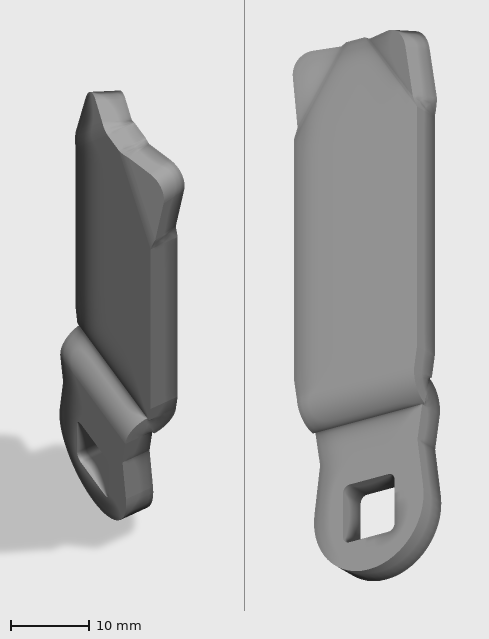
import cadquery as cq
import math


thickness = 4.0
half_width = 9.55
top_z = 64.0

hub_radius = 8.5
hole_size = 8.0
hole_corner_radius = 1.0
waist_z = 7.75
waist_half_width = 7.55

jog_offset = 3.0
jog_inner_radius = 0.01
hub_bend_z = 12.45
taper_top_z = 19.2

fold_angle = math.radians(21)
fold_inner_radius = 1.0
fold_line_angle = math.radians(55)
fold_top_x = 1.45
corner_radius = 3.0

neutral_ratio = 0.5
curve_intervals = 8


def flat_length(inner_radius, angle):
    """Length of sheet that a bend uses up, measured on the neutral layer."""
    return (inner_radius + neutral_ratio * thickness) * angle


jog_centre_distance = thickness + 2 * jog_inner_radius
jog_angle = math.acos((jog_centre_distance - jog_offset) / jog_centre_distance)
blade_bend_z = hub_bend_z + jog_centre_distance * math.sin(jog_angle)
jog_flat = flat_length(jog_inner_radius, jog_angle)

taper_length = (hub_bend_z - waist_z) + 2 * jog_flat + (taper_top_z - blade_bend_z)
taper_slope = (half_width - waist_half_width) / taper_length
hub_bend_half_width = waist_half_width + taper_slope * (hub_bend_z - waist_z)
jog_middle_half_width = hub_bend_half_width + taper_slope * jog_flat
blade_bend_half_width = jog_middle_half_width + taper_slope * jog_flat

fold_flat = flat_length(fold_inner_radius, fold_angle)
fold_side_z = top_z - (half_width - fold_top_x) * math.tan(fold_line_angle)
flap_top_x = fold_top_x + fold_flat / math.sin(fold_line_angle)
flap_side_z = fold_side_z + fold_flat / math.cos(fold_line_angle)
blade_back_y = jog_offset + thickness


def bend(plane, inner_radius, angle, start_span, end_span):
    """Bent sheet around the plane's X axis, starting below the axis and turning towards +Y.

    The spans are the (low, high) axial limits of the start and end faces;
    the ends run straight between them on the unfolded sheet.
    """
    outer_radius = inner_radius + thickness

    def point(radius, side, fraction):
        axial = start_span[side] + (end_span[side] - start_span[side]) * fraction
        turn = angle * fraction
        local = cq.Vector(axial, radius * math.sin(turn), -radius * math.cos(turn))
        return plane.toWorldCoords(local)

    def curve(radius, side):
        points = [point(radius, side, i / curve_intervals) for i in range(curve_intervals + 1)]
        return cq.Edge.makeSpline(points)

    def end_face(fraction):
        corners = [
            point(inner_radius, 0, fraction),
            point(inner_radius, 1, fraction),
            point(outer_radius, 1, fraction),
            point(outer_radius, 0, fraction),
        ]
        return cq.Face.makeFromWires(cq.Wire.makePolygon(corners, close=True))

    inner = [curve(inner_radius, side) for side in (0, 1)]
    outer = [curve(outer_radius, side) for side in (0, 1)]
    faces = [
        cq.Face.makeRuledSurface(inner[0], inner[1]),
        cq.Face.makeRuledSurface(outer[0], outer[1]),
        cq.Face.makeRuledSurface(inner[0], outer[0]),
        cq.Face.makeRuledSurface(inner[1], outer[1]),
        end_face(0),
        end_face(1),
    ]
    solid = cq.Solid.makeSolid(cq.Shell.makeShell(faces))
    return cq.Workplane(solid.fix())


def front_plane(y):
    """Sketch plane with X right and Z up; extrude by a negative length to go towards +Y."""
    return cq.Workplane("XZ", origin=(0, y, 0))


def make_hub():
    corner_distance = math.hypot(waist_half_width, waist_z)
    tangent_angle = math.atan2(waist_z, waist_half_width) - math.acos(hub_radius / corner_distance)
    tangent_x = hub_radius * math.cos(tangent_angle)
    tangent_z = hub_radius * math.sin(tangent_angle)
    plate = (
        front_plane(0)
        .moveTo(-hub_bend_half_width, hub_bend_z)
        .lineTo(-waist_half_width, waist_z)
        .lineTo(-tangent_x, tangent_z)
        .threePointArc((0, -hub_radius), (tangent_x, tangent_z))
        .lineTo(waist_half_width, waist_z)
        .lineTo(hub_bend_half_width, hub_bend_z)
        .close()
        .extrude(-thickness)
    )
    hole = (
        front_plane(0)
        .rect(hole_size, hole_size)
        .extrude(-thickness)
        .edges("|Y")
        .fillet(hole_corner_radius)
    )
    return plate.cut(hole)


def make_jog():
    hub_axis = (0, thickness + jog_inner_radius, hub_bend_z)
    blade_axis = (0, jog_offset - jog_inner_radius, blade_bend_z)
    hub_plane = cq.Plane(origin=hub_axis, xDir=(-1, 0, 0), normal=(0, 1, 0))
    blade_plane = cq.Plane(origin=blade_axis, xDir=(-1, 0, 0), normal=(0, -1, 0))
    middle_span = (-jog_middle_half_width, jog_middle_half_width)
    hub_span = (-hub_bend_half_width, hub_bend_half_width)
    blade_span = (-blade_bend_half_width, blade_bend_half_width)
    hub_bend = bend(hub_plane, jog_inner_radius, jog_angle, hub_span, middle_span)
    blade_bend = bend(blade_plane, jog_inner_radius, jog_angle, blade_span, middle_span)
    return hub_bend.union(blade_bend)


def make_blade():
    left_side = [
        (-blade_bend_half_width, blade_bend_z),
        (-half_width, taper_top_z),
        (-half_width, fold_side_z),
        (-fold_top_x, top_z),
    ]
    right_side = [(-x, z) for x, z in reversed(left_side)]
    return front_plane(jog_offset).polyline(left_side + right_side).close().extrude(-thickness)


def make_left_corner():
    along_x = -math.cos(fold_line_angle)
    along_z = -math.sin(fold_line_angle)
    across_x = along_z
    across_z = -along_x
    axis_point = cq.Vector(-fold_top_x, blade_back_y + fold_inner_radius, top_z)
    axis_direction = cq.Vector(along_x, 0, along_z)
    plane = cq.Plane(origin=axis_point, xDir=axis_direction, normal=(0, 1, 0))

    def axial(x, z):
        return (x + fold_top_x) * along_x + (z - top_z) * along_z

    start_span = (axial(-fold_top_x, top_z), axial(-half_width, fold_side_z))
    end_span = (axial(-flap_top_x, top_z), axial(-half_width, flap_side_z))
    fold = bend(plane, fold_inner_radius, fold_angle, start_span, end_span)

    flap = (
        front_plane(jog_offset)
        .moveTo(-flap_top_x, top_z)
        .lineTo(-half_width + corner_radius, top_z)
        .radiusArc((-half_width, top_z - corner_radius), -corner_radius)
        .lineTo(-half_width, flap_side_z)
        .close()
        .extrude(-thickness)
        .translate((-fold_flat * across_x, 0, -fold_flat * across_z))
        .rotate(axis_point, axis_point + axis_direction, math.degrees(fold_angle))
    )
    return fold.union(flap)


left_corner = make_left_corner()
right_corner = left_corner.mirror("YZ")
result = make_hub().union(make_jog()).union(make_blade()).union(left_corner).union(right_corner)